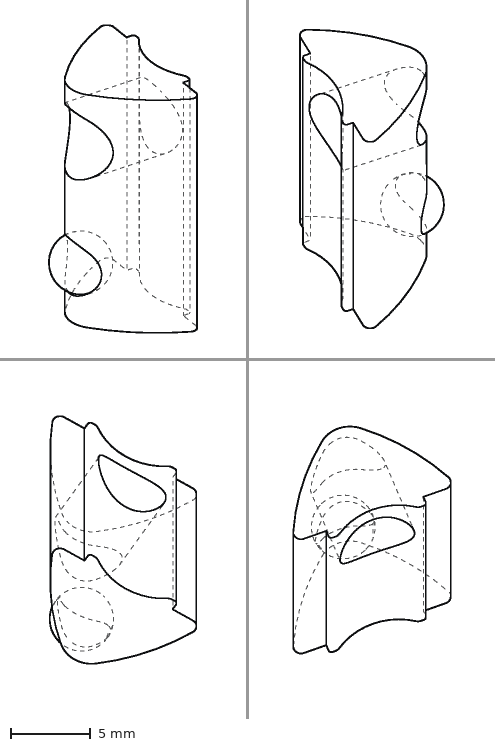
import cadquery as cq
import math

LENGTH = 17.0
WIDTH = 10.5
DEPTH_WITH_BALL = 8.1

BODY_DEPTH = 6.9
NOSE_RADIUS = 2.0
FLANK_RADIUS = 15.0
CORNER_RADIUS = 0.5
LEDGE_DEPTH = 0.58
EAR_HALF_WIDTH = 3.26
EAR_OUTER_FILLET = 0.2
EAR_INNER_FILLET = 0.5
GROOVE_RADIUS = 4.5
GROOVE_DEPTH = 0.9

HOLE_DIAMETER = 5.0
HOLE_HEIGHT = 13.0
BALL_DIAMETER = 4.0
BALL_HEIGHT = 4.0

ball_radius = BALL_DIAMETER / 2
ball_center_y = ball_radius - DEPTH_WITH_BALL


def point_on_circle(center, radius, angle):
    return (center[0] + radius * math.cos(angle), center[1] + radius * math.sin(angle))


def mirrored(point):
    return (-point[0], point[1])


def make_profile():
    """Closed outline whose flanks run tangent into the nose and the outer corners."""
    nose_center = (0, NOSE_RADIUS - BODY_DEPTH)
    corner_center = (WIDTH / 2 - CORNER_RADIUS, -LEDGE_DEPTH - CORNER_RADIUS)

    nose_reach = FLANK_RADIUS - NOSE_RADIUS
    corner_reach = FLANK_RADIUS - CORNER_RADIUS
    span_x = corner_center[0] - nose_center[0]
    span_y = corner_center[1] - nose_center[1]
    span = math.hypot(span_x, span_y)
    along = (nose_reach**2 - corner_reach**2 + span**2) / (2 * span)
    across = math.sqrt(nose_reach**2 - along**2)
    flank_center = (
        nose_center[0] + (along * span_x - across * span_y) / span,
        nose_center[1] + (along * span_y + across * span_x) / span,
    )

    nose_angle = math.atan2(nose_center[1] - flank_center[1], nose_center[0] - flank_center[0])
    corner_angle = math.atan2(corner_center[1] - flank_center[1], corner_center[0] - flank_center[0])
    nose_end = point_on_circle(flank_center, FLANK_RADIUS, nose_angle)
    flank_middle = point_on_circle(flank_center, FLANK_RADIUS, (nose_angle + corner_angle) / 2)
    flank_end = point_on_circle(flank_center, FLANK_RADIUS, corner_angle)
    corner_middle = point_on_circle(corner_center, CORNER_RADIUS, (corner_angle + math.pi / 2) / 2)
    corner_end = (corner_center[0], -LEDGE_DEPTH)

    return (
        cq.Workplane("XY")
        .moveTo(*mirrored(nose_end))
        .threePointArc((0, -BODY_DEPTH), nose_end)
        .threePointArc(flank_middle, flank_end)
        .threePointArc(corner_middle, corner_end)
        .lineTo(EAR_HALF_WIDTH, -LEDGE_DEPTH)
        .lineTo(EAR_HALF_WIDTH, 0)
        .lineTo(-EAR_HALF_WIDTH, 0)
        .lineTo(-EAR_HALF_WIDTH, -LEDGE_DEPTH)
        .lineTo(*mirrored(corner_end))
        .threePointArc(mirrored(corner_middle), mirrored(flank_end))
        .threePointArc(mirrored(flank_middle), mirrored(nose_end))
        .close()
    )


def vertical_edges_at(x):
    """Select the two upright edges at the back of the ears, at plus and minus x."""
    tolerance = 0.02
    selector = None
    for side in (-x, x):
        box = cq.selectors.BoxSelector(
            (side - tolerance, -tolerance, -tolerance),
            (side + tolerance, tolerance, LENGTH + tolerance),
        )
        selector = box if selector is None else selector + box
    return selector


def make_grooved_bar():
    bar = make_profile().extrude(LENGTH)
    groove_center_y = GROOVE_RADIUS - GROOVE_DEPTH
    groove = cq.Workplane("XY").center(0, groove_center_y).circle(GROOVE_RADIUS).extrude(LENGTH)
    groove_half_width = math.sqrt(GROOVE_RADIUS**2 - groove_center_y**2)
    bar = bar.cut(groove)
    bar = bar.edges("|Z").edges(vertical_edges_at(EAR_HALF_WIDTH)).fillet(EAR_OUTER_FILLET)
    return bar.edges("|Z").edges(vertical_edges_at(groove_half_width)).fillet(EAR_INNER_FILLET)


def make_ball():
    return cq.Workplane("XY").sphere(ball_radius).translate((0, ball_center_y, BALL_HEIGHT))


def make_ball_pocket():
    """Bore open at the nose, ending in a round seat that fits the ball."""
    bore = (
        cq.Workplane("XZ", origin=(0, ball_center_y, BALL_HEIGHT))
        .circle(ball_radius)
        .extrude(BODY_DEPTH)
    )
    return bore.union(make_ball())


def make_slider():
    hole = cq.Workplane("XZ").center(0, HOLE_HEIGHT).circle(HOLE_DIAMETER / 2).extrude(BODY_DEPTH)
    return make_grooved_bar().cut(hole).cut(make_ball_pocket())


slider = make_slider()
ball = make_ball()

result = cq.Compound.makeCompound([slider.solids().val(), ball.val()])